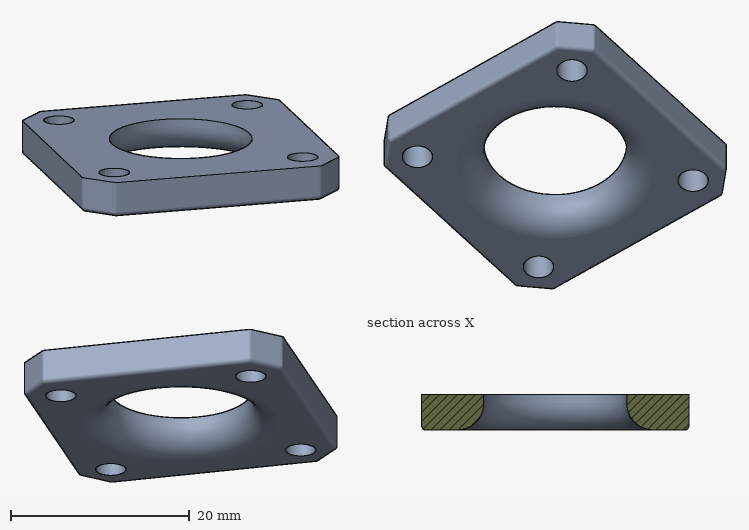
import cadquery as cq

side = 30.0
thickness = 4.0
corner_chamfer = 3.0
corner_edge_radius = 0.5
bottom_edge_radius = 0.5

bore_diameter = 16.0
bore_straight_depth = 1.0
flare_radius = thickness - bore_straight_depth

hole_diameter = 3.4
hole_spacing = 22.0


def make_plate():
    """Square plate with cut corners, softened uprights and a rounded bottom rim."""
    plate = cq.Workplane("XY").rect(side, side).extrude(thickness)
    plate = plate.edges("|Z").chamfer(corner_chamfer)
    plate = plate.edges("|Z").fillet(corner_edge_radius)
    return plate.faces("<Z").edges().fillet(bottom_edge_radius)


def make_bore():
    """Cutter for the central bore: straight at the top, flaring out to the bottom face."""
    bore_radius = bore_diameter / 2
    mouth_radius = bore_radius + flare_radius
    return (
        cq.Workplane("XZ")
        .lineTo(mouth_radius, 0)
        .radiusArc((bore_radius, flare_radius), flare_radius)
        .lineTo(bore_radius, thickness)
        .lineTo(0, thickness)
        .close()
        .revolve(360, (0, 0, 0), (0, 1, 0))
    )


def make_mounting_holes():
    """Cutters for the four through holes."""
    return (
        cq.Workplane("XY")
        .rarray(hole_spacing, hole_spacing, 2, 2)
        .circle(hole_diameter / 2)
        .extrude(thickness)
    )


result = make_plate().cut(make_bore()).cut(make_mounting_holes())